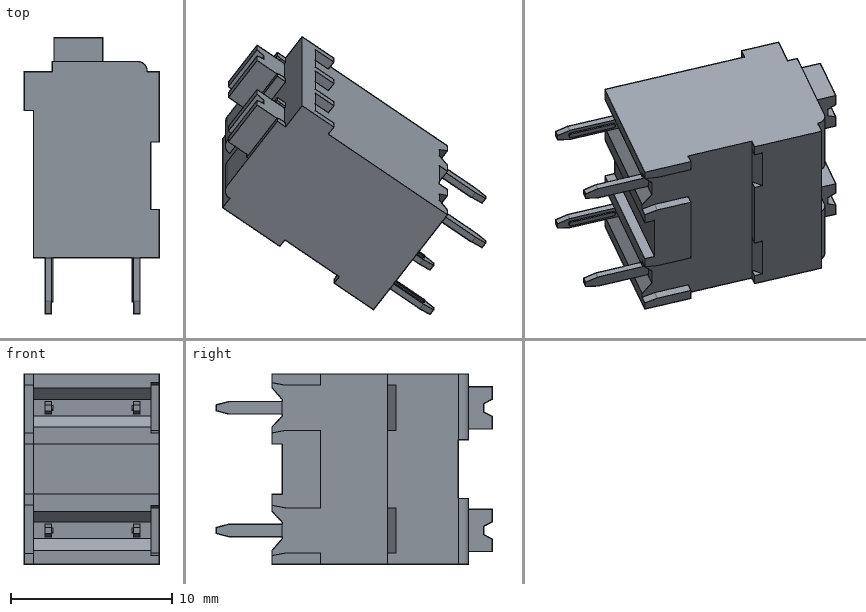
import cadquery as cq


width = 8.4
height = 11.82
total_length = 17.15
pole_pitch = 7.61
pole_heights = [(height - pole_pitch) / 2, (height + pole_pitch) / 2]

body_left = 0.58
body_rear = 11.58
center_recess_depth = 0.63
tab_height = 0.69
center_recess_height = 3.1
center_recess_bottom = (height - center_recess_height) / 2
center_recess_top = center_recess_bottom + center_recess_height

groove_floor_half = 0.51
groove_outer_edge = 0.85
groove_inner_edge = 3.3

bar_front = 10.56
tab_front = 9.14

side_depth = 0.53
notch_front = 3.02
notch_rear = 7.19
channel_mouth_half = 1.56
channel_half = 1.4
channel_flare_length = 0.82

boss_left = 1.75
boss_right = 7.65
boss_length = 0.63
boss_height = 4.1
boss_radius = 0.62

clamp_left = 1.85
clamp_width = 3.04
clamp_height = 2.64
clamp_notch_depth = 0.53
clamp_notch_mouth_half = 0.53
clamp_notch_base_half = 0.25
cavity_height = 2.81
cavity_mouth_height = 3.05
cavity_flare_length = 0.25
clamp_side_gap = clamp_left - boss_left

pin_length = 3.46
pin_lefts = [1.3, 6.8]
pin_width = 0.4
pin_height = 0.79
pin_tip_height = 0.38
pin_straight_length = 2.68
rib_height = 0.31
rib_rear = 0.3
rib_front = -2.75
rib_protrusion = 0.1
clamp_rear = total_length - pin_length


def box(x0, x1, y0, y1, z0, z1):
    return cq.Workplane("XY").box(x1 - x0, y1 - y0, z1 - z0, centered=False).translate((x0, y0, z0))


def side_profile(points, x0, x1):
    """Extrude a closed (Y, Z) outline from x0 to x1."""
    return cq.Workplane("YZ", origin=(x0, 0, 0)).polyline(points).close().extrude(x1 - x0)


def mirrored(points):
    """Close a list of (Y, Z offset) points with its mirror image below."""
    return points + [(y, -z) for y, z in reversed(points)]


def at_pole(points, z):
    return [(y, z + offset) for y, offset in points]


def make_side_channel(pole_z):
    channel = mirrored([
        (0, channel_mouth_half),
        (channel_flare_length, channel_half),
        (notch_rear, channel_half),
    ])
    ramp = [
        (width - side_depth, notch_rear),
        (width, notch_rear),
        (width, notch_rear + side_depth),
    ]
    straight_part = side_profile(at_pole(channel, pole_z), width - side_depth, width)
    ramp_part = (
        cq.Workplane("XY", origin=(0, 0, pole_z - channel_half))
        .polyline(ramp)
        .close()
        .extrude(2 * channel_half)
    )
    return straight_part.union(ramp_part)


def make_body():
    body = box(body_left, width, 0, body_rear, 0, height)
    body = body.cut(
        box(body_left, width, 0, center_recess_depth, center_recess_bottom, center_recess_top)
    )
    body = body.cut(box(width - side_depth, width, notch_front, notch_rear, 0, height))
    lower_groove = [
        (0, groove_outer_edge),
        (center_recess_depth, pole_heights[0] - groove_floor_half),
        (center_recess_depth, pole_heights[0] + groove_floor_half),
        (0, groove_inner_edge),
    ]
    upper_groove = [(y, height - z) for y, z in lower_groove]
    for groove in (lower_groove, upper_groove):
        body = body.cut(side_profile(groove, body_left, width))
    for z in pole_heights:
        body = body.cut(make_side_channel(z))
    return body


def make_latch():
    latch = box(0, body_left, bar_front, body_rear, 0, height)
    tab_bottoms = [
        0,
        center_recess_bottom - tab_height,
        center_recess_top,
        height - tab_height,
    ]
    for z in tab_bottoms:
        latch = latch.union(box(0, body_left, tab_front, bar_front, z, z + tab_height))
    return latch


def make_boss(bottom, pole_z):
    boss_rear = body_rear + boss_length
    boss = box(boss_left, boss_right, body_rear, boss_rear, bottom, bottom + boss_height)
    boss = boss.edges("|Z and >X and >Y").fillet(boss_radius)
    cavity = mirrored([
        (body_rear, cavity_height / 2),
        (boss_rear - cavity_flare_length, cavity_height / 2),
        (boss_rear, cavity_mouth_height / 2),
    ])
    cavity_right = clamp_left + clamp_width + clamp_side_gap
    return boss.cut(side_profile(at_pole(cavity, pole_z), boss_left, cavity_right))


def make_clamp(pole_z):
    outline = mirrored([
        (body_rear, clamp_height / 2),
        (clamp_rear, clamp_height / 2),
        (clamp_rear, clamp_notch_mouth_half),
        (clamp_rear - clamp_notch_depth, clamp_notch_base_half),
    ])
    return side_profile(at_pole(outline, pole_z), clamp_left, clamp_left + clamp_width)


def make_pin(left, pole_z):
    outline = mirrored([
        (center_recess_depth, pin_height / 2),
        (-pin_straight_length, pin_height / 2),
        (-pin_length, pin_tip_height / 2),
    ])
    return side_profile(at_pole(outline, pole_z), left, left + pin_width)


def make_rib(left, pole_z):
    """Round-ended bar lying along the pin's side."""
    return (
        cq.Workplane("YZ", origin=(left, (rib_rear + rib_front) / 2, pole_z))
        .slot2D(rib_rear - rib_front, rib_height)
        .extrude(rib_protrusion)
    )


result = make_body().union(make_latch())

for boss_bottom, pole_height in zip([0, height - boss_height], pole_heights):
    result = result.union(make_boss(boss_bottom, pole_height))
    result = result.union(make_clamp(pole_height))

rib_lefts = [pin_lefts[0] + pin_width, pin_lefts[1] - rib_protrusion]
for pole_height in pole_heights:
    for pin_left, rib_left in zip(pin_lefts, rib_lefts):
        result = result.union(make_pin(pin_left, pole_height))
        result = result.union(make_rib(rib_left, pole_height))